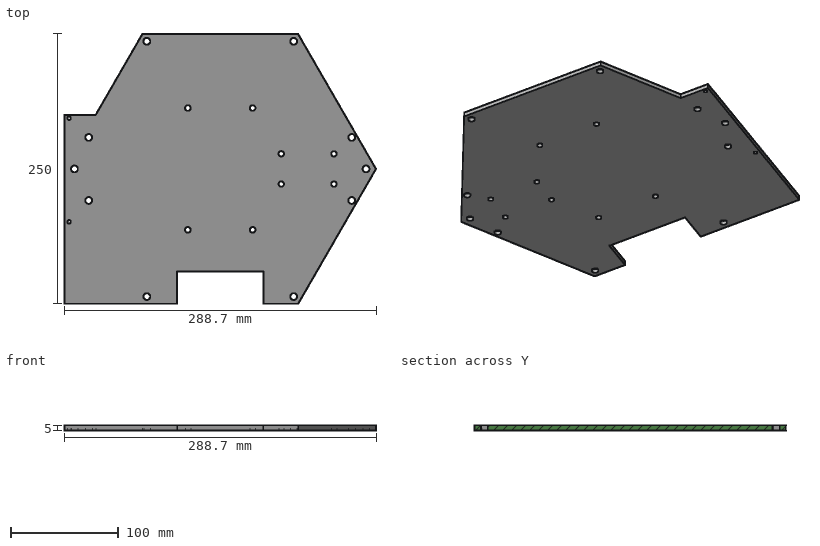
import cadquery as cq
import math

thickness = 5.0
half_flats = 250.0 / 2
corner_radius = half_flats / math.cos(math.radians(30))
half_side = corner_radius / 2

tab_top = 50.0
tab_inner_x = -corner_radius + tab_top / math.tan(math.radians(60))

notch_width = 80.0
notch_depth = 30.0

mount_hole_diameter = 6.1
corner_hole_x = 68.0
corner_hole_y = 118.2
end_hole_x = 135.0
side_hole_x = 121.8
side_hole_y = 29.2

centre_hole_diameter = 5.0
centre_pitch_x = 60.0
centre_pitch_y = 112.8

board_hole_diameter = 4.8
board_centre_x = 80.9
board_pitch_x = 48.8
board_pitch_y = 28.0

edge_hole_diameter = 3.1
edge_hole_x = -140.0
edge_hole_top_y = 47.0
edge_hole_pitch = 96.0


def make_plate():
    """Hexagonal plate with the lower-left side squared off, resting on Z = 0."""
    outline = [
        (-half_side, half_flats),
        (half_side, half_flats),
        (corner_radius, 0),
        (half_side, -half_flats),
        (-corner_radius, -half_flats),
        (-corner_radius, tab_top),
        (tab_inner_x, tab_top),
    ]
    return cq.Workplane("XY").polyline(outline).close().extrude(thickness)


def make_notch():
    """Block that removes the notch from the bottom edge."""
    notch_centre_y = -half_flats + notch_depth / 2
    return cq.Workplane("XY").center(0, notch_centre_y).rect(notch_width, notch_depth).extrude(thickness)


def rectangle_points(pitch_x, pitch_y, centre_x=0.0):
    """Corners of a rectangle centred at (centre_x, 0)."""
    return [
        (centre_x + side_x * pitch_x / 2, side_y * pitch_y / 2)
        for side_x in (-1, 1)
        for side_y in (-1, 1)
    ]


def make_holes(points, diameter):
    """Cylinders through the full plate thickness."""
    return cq.Workplane("XY").pushPoints(points).circle(diameter / 2).extrude(thickness)


mount_points = (
    rectangle_points(2 * corner_hole_x, 2 * corner_hole_y)
    + rectangle_points(2 * side_hole_x, 2 * side_hole_y)
    + [(-end_hole_x, 0), (end_hole_x, 0)]
)
centre_points = rectangle_points(centre_pitch_x, centre_pitch_y)
board_points = rectangle_points(board_pitch_x, board_pitch_y, board_centre_x)
edge_points = [
    (edge_hole_x, edge_hole_top_y),
    (edge_hole_x, edge_hole_top_y - edge_hole_pitch),
]

result = (
    make_plate()
    .cut(make_notch())
    .cut(make_holes(mount_points, mount_hole_diameter))
    .cut(make_holes(centre_points, centre_hole_diameter))
    .cut(make_holes(board_points, board_hole_diameter))
    .cut(make_holes(edge_points, edge_hole_diameter))
)